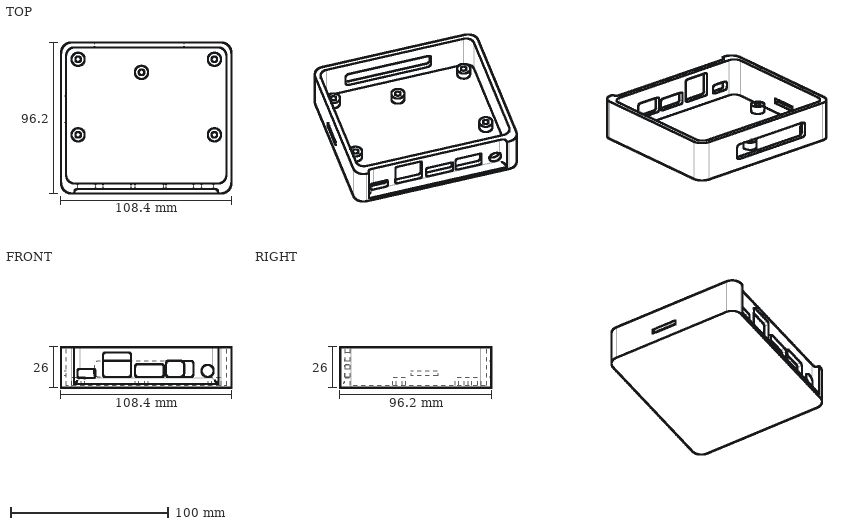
import cadquery as cq

LENGTH = 108.4
DEPTH = 96.15
HEIGHT = 26.0
OUTER_RADIUS = 6.8

FLOOR = 1.6
SIDE_WALL = 3.3
BACK_WALL = 3.2
FRONT_WALL = 6.4
CAVITY_RADIUS = 5.3
CAVITY_LENGTH = LENGTH - 2 * SIDE_WALL
CAVITY_DEPTH = DEPTH - FRONT_WALL - BACK_WALL
CAVITY_CENTER_Y = (FRONT_WALL - BACK_WALL) / 2

RECESS_DEPTH = 3.0
RECESS_HALF_WIDTH = 45.8
RECESS_FLOOR_HALF_WIDTH = 42.0
RECESS_BOTTOM = 2.4
COVE_WIDTH = RECESS_HALF_WIDTH - RECESS_FLOOR_HALF_WIDTH
COVE_CONTROLS = [(0.2, 2.4), (0.5, RECESS_DEPTH), (COVE_WIDTH, RECESS_DEPTH)]

STANDOFF_DIAMETER = 8.4
STANDOFF_HOLE = 3.6
STANDOFF_HEIGHT = 4.9
STANDOFF_X = 43.3
STANDOFF_BACK_Y = 37.3
STANDOFF_FRONT_Y = -10.7
MIDDLE_STANDOFF = (-3.0, 29.0)

SILL = 7.0
PORT_RADIUS = 1.5
FRONT_PORTS = [
    (-43.8, -32.4, 6.2, 12.1),
    (-27.4, -9.7, SILL, 22.5),
    (-7.0, 11.1, SILL, 15.0),
    (12.7, 29.9, SILL, 17.2),
]
JACK_DIAMETER = 7.7
JACK_X = 39.0
JACK_Z = SILL + JACK_DIAMETER / 2

BACK_PORT = (-32.9, 24.0, SILL, 17.2)
BACK_PORT_RADIUS = 2.4

CARD_SLOT_LENGTH = 17.0
CARD_SLOT_HEIGHT = 3.0
CARD_SLOT_Y = 5.6
CARD_SLOT_Z = 9.4

FRONT_Y = -DEPTH / 2
BACK_Y = DEPTH / 2


def rounded_block(length, depth, height, radius):
    """Upright block with rounded vertical edges, standing on Z = 0."""
    block = cq.Workplane("XY").box(length, depth, height, centered=(True, True, False))
    return block.edges("|Z").fillet(radius)


def make_shell():
    body = rounded_block(LENGTH, DEPTH, HEIGHT, OUTER_RADIUS)
    cavity = rounded_block(CAVITY_LENGTH, CAVITY_DEPTH, HEIGHT, CAVITY_RADIUS)
    return body.cut(cavity.translate((0, CAVITY_CENTER_Y, FLOOR)))


def wall_port(limits, y_start, thickness, radius):
    """Rounded rectangular cutter running along +Y from y_start."""
    x_min, x_max, z_min, z_max = limits
    port = cq.Workplane("XY").box(x_max - x_min, thickness, z_max - z_min, centered=False)
    return port.edges("|Y").fillet(radius).translate((x_min, y_start, z_min))


def make_recess():
    """Recess cutter whose coves meet in mitres at the lower corners."""
    right_cove = [(RECESS_HALF_WIDTH - inset, FRONT_Y + depth) for inset, depth in COVE_CONTROLS]
    left_rim = (-RECESS_HALF_WIDTH, FRONT_Y)
    left_cove = [left_rim] + [(-x, y) for x, y in right_cove]
    left_cove.reverse()
    plan = (
        cq.Workplane("XY")
        .moveTo(*left_rim)
        .lineTo(RECESS_HALF_WIDTH, FRONT_Y)
        .bezier(right_cove, includeCurrent=True)
        .lineTo(*left_cove[0])
        .bezier(left_cove[1:], includeCurrent=True)
        .close()
        .extrude(HEIGHT)
    )
    bottom_cove = [(FRONT_Y + depth, RECESS_BOTTOM + inset) for inset, depth in COVE_CONTROLS]
    profile = (
        cq.Workplane("YZ", origin=(-RECESS_HALF_WIDTH, 0, 0))
        .moveTo(FRONT_Y, RECESS_BOTTOM)
        .bezier(bottom_cove, includeCurrent=True)
        .lineTo(FRONT_Y + RECESS_DEPTH, HEIGHT)
        .lineTo(FRONT_Y, HEIGHT)
        .close()
        .extrude(2 * RECESS_HALF_WIDTH)
    )
    return plan.intersect(profile)


def add_standoffs(body):
    centers = [MIDDLE_STANDOFF]
    for y in (STANDOFF_FRONT_Y, STANDOFF_BACK_Y):
        centers += [(-STANDOFF_X, y), (STANDOFF_X, y)]
    floor_points = cq.Workplane("XY", origin=(0, 0, FLOOR)).pushPoints(centers)
    posts = floor_points.circle(STANDOFF_DIAMETER / 2).circle(STANDOFF_HOLE / 2).extrude(STANDOFF_HEIGHT)
    return body.union(posts)


def cut_openings(body):
    for limits in FRONT_PORTS:
        body = body.cut(wall_port(limits, FRONT_Y, FRONT_WALL, PORT_RADIUS))
    jack_plane = cq.Workplane("XZ", origin=(JACK_X, FRONT_Y, JACK_Z))
    body = body.cut(jack_plane.circle(JACK_DIAMETER / 2).extrude(-FRONT_WALL))
    body = body.cut(wall_port(BACK_PORT, BACK_Y - BACK_WALL, BACK_WALL, BACK_PORT_RADIUS))
    slot = cq.Workplane("XY").box(SIDE_WALL, CARD_SLOT_LENGTH, CARD_SLOT_HEIGHT)
    return body.cut(slot.translate(((SIDE_WALL - LENGTH) / 2, CARD_SLOT_Y, CARD_SLOT_Z)))


result = add_standoffs(cut_openings(make_shell().cut(make_recess())))